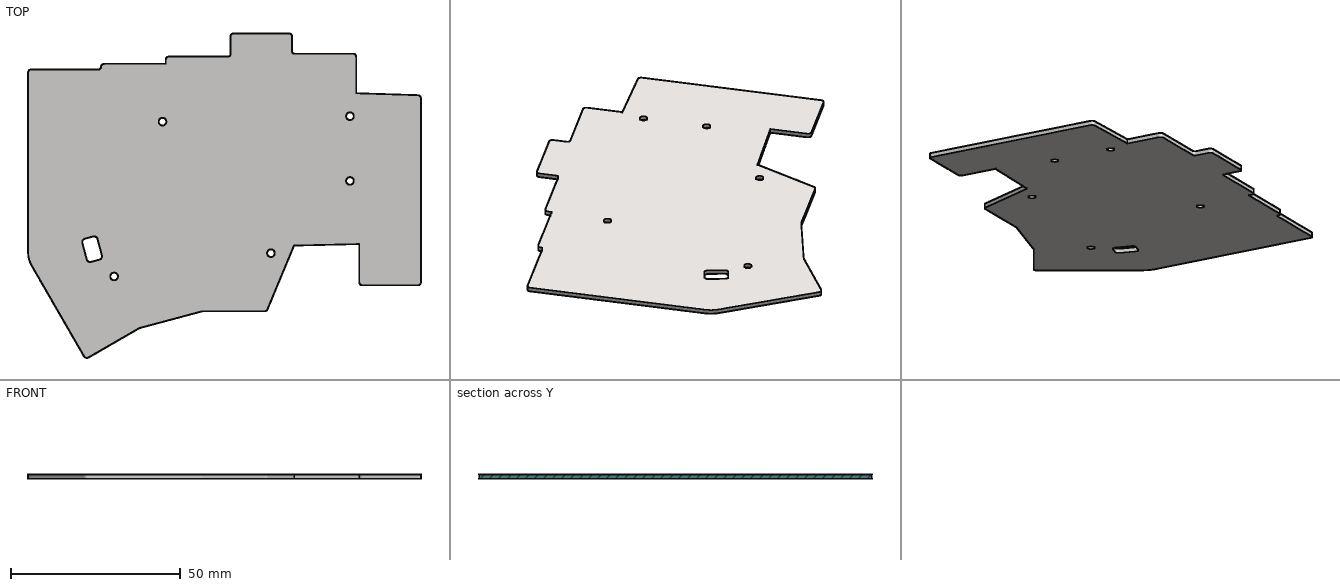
import cadquery as cq
import math

length = 115.67
width = 95.55
thickness = 1.35

key_pitch = 19.05
step_1_x = 21.45
step_2_x = step_1_x + key_pitch
tab_left_x = step_2_x + key_pitch
tab_right_x = 77.75
shoulder_x = length - key_pitch

back_left_y = 84.95
back_step_1_y = 86.6
back_step_2_y = 88.75
back_right_y = 89.6
shoulder_y = 77.95
shoulder_end_y = 77.35

leg_left_x = 97.45
leg_bottom_y = 21.35
notch_right_y = 33.5
notch_left_x = 78.3
notch_left_y = 33.05

fan_angle = math.radians(15)
front_y = 13.7
front_right_x = 70.25
front_left_x = 51.2
fan_bend_x = 32.8

corner_radius = 1.0
inner_radius = 0.6
bend_radius = 8.0

hole_diameter = 2.2
right_hole_x = 94.75
right_hole_y = 71.15
hole_centers = [
    (39.6, 69.55),
    (right_hole_x, right_hole_y),
    (right_hole_x, right_hole_y - key_pitch),
    (71.5, 30.85),
    (25.35, 24.0),
]

window_center = (18.88, 32.03)
window_width = 4.55
window_height = 7.0
window_radius = 1.0

tip_slope = 2 * fan_angle
tip_bisector = tip_slope + math.radians(45)
tip_y = corner_radius * (1 - math.sqrt(2) * math.sin(tip_bisector))
fan_bend_y = front_y - (front_left_x - fan_bend_x) * math.tan(fan_angle)
tip_x = fan_bend_x - (fan_bend_y - tip_y) / math.tan(tip_slope)
left_bend_y = tip_y + tip_x / math.tan(tip_slope)

outline = [
    (0, back_left_y, corner_radius),
    (step_1_x, back_left_y, inner_radius),
    (step_1_x, back_step_1_y, corner_radius),
    (step_2_x, back_step_1_y, 0),
    (step_2_x, back_step_2_y, corner_radius),
    (tab_left_x, back_step_2_y, inner_radius),
    (tab_left_x, width, corner_radius),
    (tab_right_x, width, corner_radius),
    (tab_right_x, back_right_y, inner_radius),
    (shoulder_x, back_right_y, corner_radius),
    (shoulder_x, shoulder_y, 0),
    (length, shoulder_end_y, corner_radius),
    (length, leg_bottom_y, corner_radius),
    (leg_left_x, leg_bottom_y, corner_radius),
    (leg_left_x, notch_right_y, 0),
    (notch_left_x, notch_left_y, 0),
    (front_right_x, front_y, corner_radius),
    (front_left_x, front_y, 0),
    (fan_bend_x, fan_bend_y, 0),
    (tip_x, tip_y, corner_radius),
    (0, left_bend_y, bend_radius),
]


def make_plate():
    """Flat plate with the stepped outline and its rounded corners."""
    points = [(x, y) for x, y, _ in outline]
    plate = cq.Workplane("XY").polyline(points).close().extrude(thickness)
    for x, y, radius in outline:
        if radius > 0:
            corner = cq.NearestToPointSelector((x, y, thickness / 2))
            plate = plate.edges("|Z").edges(corner).fillet(radius)
    return plate


def make_holes():
    """Cutters for the round through holes."""
    return cq.Workplane("XY").pushPoints(hole_centers).circle(hole_diameter / 2).extrude(thickness)


def make_window():
    """Cutter for the tilted window with rounded corners."""
    window = cq.Workplane("XY").rect(window_width, window_height).extrude(thickness)
    window = window.edges("|Z").fillet(window_radius)
    window = window.rotate((0, 0, 0), (0, 0, 1), math.degrees(fan_angle))
    return window.translate(window_center + (0,))


result = make_plate().cut(make_holes()).cut(make_window())